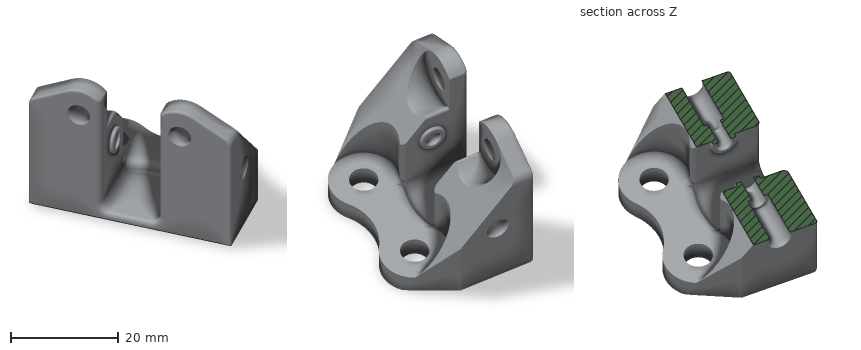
import cadquery as cq
import math

width = 40.0
half_width = width / 2
depth = 26.64
wall_thickness = 4.0
plate_thickness = 4.0

arm_x = 10.0
ear_z = 24.0
ear_radius = 5.65
height = ear_z + ear_radius
ear_slope = math.radians(28)
shoulder_radius = 1.8
screw_hole_diameter = 4.5

slope_foot_y = 23.05
slope_top_z = 24.92
slope_gradient = (slope_top_z - plate_thickness) / (slope_foot_y - wall_thickness)

blend_stations = [(12.6, 8.5), (16.3, 7.95), (half_width, 6.96)]

pad_radius = 6.7
pad_y = depth - pad_radius
bolt_hole_diameter = 5.5
side_length = 15.6
waist_y = 23.48

slot_half_width = 5.85
slot_floor_z = 2.3
slot_corner_radius = plate_thickness - slot_floor_z
slot_end_y = 16.66
slot_end_radius = 18.0
slot_end_length = 2.8
slot_end_lower_share = 0.3
slot_join_z = slot_floor_z + slot_end_lower_share * (plate_thickness - slot_floor_z)
flare_stations = [(12.5, 8.6), (16.0, 6.2)]

pin_y = 7.74
pin_z = 13.72
pin_hole_diameter = 3.3
pin_counterbore_diameter = 4.6
pin_counterbore_depth = 10.0
pin_counterbore_start = half_width - pin_counterbore_depth
ring_diameter = 5.3
ring_height = 0.76
ring_round = 0.35

edge_round = 0.5
slot_front_round = 1.0
arm_end_round = 1.0
front_base_chamfer = 1.0
side_base_chamfer = 0.4

sides = (-1, 1)


def nearest(x, y, z):
    return cq.selectors.NearestToPointSelector((x, y, z))


def slope_z(y):
    return slope_top_z - slope_gradient * (y - wall_thickness)


def shoulder_z(x):
    """Height of the ear's inclined top edge at distance x from the middle."""
    tangent_x = arm_x + ear_radius * math.sin(ear_slope)
    tangent_z = ear_z + ear_radius * math.cos(ear_slope)
    return tangent_z - (x - tangent_x) * math.tan(ear_slope)


def front_outline():
    """Arms and base seen along Y, solid between the ears."""
    tangent_x = arm_x + ear_radius * math.sin(ear_slope)
    inner_z = ear_z + math.sqrt(ear_radius**2 - (arm_x - slot_half_width) ** 2)
    half = (
        cq.Workplane("XZ")
        .moveTo(0, 0)
        .lineTo(half_width, 0)
        .lineTo(half_width, shoulder_z(half_width))
        .lineTo(tangent_x, shoulder_z(tangent_x))
        .threePointArc((arm_x, height), (slot_half_width, inner_z))
        .lineTo(0, inner_z)
        .close()
        .extrude(-depth)
    )
    shoulder = nearest(half_width, depth / 2, shoulder_z(half_width))
    half = half.edges(shoulder).fillet(shoulder_radius)
    return half.union(half.mirror("YZ"))


def side_outline():
    """Front wall, sloping back and rear plate, seen along X."""
    return (
        cq.Workplane("YZ")
        .polyline(
            [
                (0, 0),
                (depth, 0),
                (depth, plate_thickness),
                (slope_foot_y, plate_thickness),
                (wall_thickness, slope_top_z),
                (wall_thickness, height),
                (0, height),
            ]
        )
        .close()
        .extrude(half_width, both=True)
    )


def blend(side):
    """Concave filler on top of the slope, from the shoulder edge down to a tangent run-out."""
    sections = []
    for x, leave_y in blend_stations:
        top = cq.Vector(side * x, wall_thickness, shoulder_z(x))
        leave = cq.Vector(side * x, leave_y, slope_z(leave_y))
        root = cq.Vector(side * x, wall_thickness, slope_z(leave_y))
        along_slope = cq.Vector(0, -1, slope_gradient)
        sections.append(
            cq.Wire.assembleEdges(
                [
                    cq.Edge.makeTangentArc(leave, along_slope, top),
                    cq.Edge.makeLine(top, root),
                    cq.Edge.makeLine(root, leave),
                ]
            )
        )
    return cq.Workplane(cq.Solid.makeLoft(sections))


def on_pad(angle, side=1):
    """Point on the rim of a bolt pad, angle measured from the outward X direction."""
    return (side * (arm_x + pad_radius * math.cos(angle)), pad_y + pad_radius * math.sin(angle))


def taper_angle():
    """Angle on the pad rim where the taper from the end of the straight side touches it."""
    corner_dx = half_width - arm_x
    corner_dy = side_length - pad_y
    corner_distance = math.hypot(corner_dx, corner_dy)
    return math.atan2(corner_dy, corner_dx) + math.acos(pad_radius / corner_distance)


def base_envelope():
    """Block with straight sides and full-length tapers, chamfered round its base except at the rear."""
    taper_x, taper_y = on_pad(taper_angle())
    rear_x = half_width - (half_width - taper_x) * (depth - side_length) / (taper_y - side_length)
    envelope = (
        cq.Workplane("XY")
        .polyline(
            [
                (-half_width, 0),
                (half_width, 0),
                (half_width, side_length),
                (rear_x, depth),
                (-rear_x, depth),
                (-half_width, side_length),
            ]
        )
        .close()
        .extrude(height)
    )
    envelope = envelope.edges("<Y and <Z").chamfer(front_base_chamfer)
    return envelope.faces("<Z").edges("not |X").chamfer(side_base_chamfer)


def plan_outline():
    """Base seen from above: straight sides, tapers tangent to the pads, concave waist."""
    rise = pad_radius + pad_y - waist_y
    centre_distance = (arm_x**2 + rise**2) / (2 * rise)
    waist_radius = centre_distance - pad_radius
    waist_angle = math.atan2(waist_y + waist_radius - pad_y, -arm_x)
    tangent_angle = taper_angle()
    return (
        cq.Workplane("XY")
        .moveTo(-half_width, 0)
        .lineTo(half_width, 0)
        .lineTo(half_width, side_length)
        .lineTo(*on_pad(tangent_angle))
        .threePointArc(on_pad((tangent_angle + waist_angle) / 2), on_pad(waist_angle))
        .threePointArc((0, waist_y), on_pad(waist_angle, -1))
        .threePointArc(on_pad((tangent_angle + waist_angle) / 2, -1), on_pad(tangent_angle, -1))
        .lineTo(-half_width, side_length)
        .close()
        .extrude(height)
    )


def slot_end_limit():
    """Solid of revolution whose underside rises in an S curve from the slot floor to the plate."""
    floor_radius = slot_end_radius - slot_end_length
    join_radius = floor_radius + slot_end_length * slot_end_lower_share
    return (
        cq.Workplane("XZ")
        .moveTo(0, slot_floor_z)
        .lineTo(floor_radius, slot_floor_z)
        .tangentArcPoint((join_radius, slot_join_z), relative=False)
        .tangentArcPoint((slot_end_radius, plate_thickness), relative=False)
        .lineTo(slot_end_radius + depth, plate_thickness)
        .lineTo(slot_end_radius + depth, height)
        .lineTo(0, height)
        .close()
        .revolve(360, (0, 0, 0), (0, 1, 0))
        .translate((0, slot_end_y - slot_end_radius, 0))
    )


def slot_cutter():
    """Round-bottomed channel whose floor rises in an S curve to the plate at its rear end."""
    channel = (
        cq.Workplane("XZ")
        .rect(2 * slot_half_width, 2 * (height - slot_floor_z))
        .extrude(-depth)
        .translate((0, 0, height))
        .edges("|Y and <Z")
        .fillet(slot_corner_radius)
    )
    return channel.intersect(slot_end_limit())


def flare_cutter(plate_top):
    """Rounds the slot over into the open plate, outside the footprint of the arms."""
    corner_x = slot_half_width - slot_corner_radius
    join_dz = plate_thickness - slot_join_z
    join_x = corner_x + math.sqrt(slot_corner_radius**2 - join_dz**2)
    sections = []
    for y, flare_half_width in flare_stations:
        flare_dx = flare_half_width - join_x
        flare_radius = (flare_dx**2 + join_dz**2) / (2 * join_dz)
        profile = (
            cq.Workplane("XZ", origin=(0, y, 0))
            .moveTo(0, plate_thickness)
            .lineTo(0, slot_join_z)
            .lineTo(join_x, slot_join_z)
            .radiusArc((flare_half_width, plate_thickness), flare_radius)
            .close()
        )
        sections.append(profile.val())
    half = cq.Workplane(cq.Solid.makeLoft(sections, True))
    flare = half.union(half.mirror("YZ"))
    open_plate = cq.Workplane(
        cq.Solid.extrudeLinear(plate_top, cq.Vector(0, 0, slot_floor_z - plate_thickness))
    )
    return flare.intersect(open_plate).intersect(slot_end_limit())


def cylinder_along_x(diameter, start_x, length, side):
    return cq.Workplane(
        cq.Solid.makeCylinder(
            diameter / 2, length, cq.Vector(side * start_x, pin_y, pin_z), cq.Vector(side, 0, 0)
        )
    )


def cylinder_along_y(radius, start_y, x):
    return cq.Workplane(
        cq.Solid.makeCylinder(radius, depth, cq.Vector(x, start_y, ear_z), cq.Vector(0, 1, 0))
    )


def cylinder_along_z(radius, start_z, x):
    return cq.Workplane(cq.Solid.makeCylinder(radius, height, cq.Vector(x, pad_y, start_z)))


def round_arm_edges(part, side):
    """Rounds the slot-side edges of an arm where the pad clearance and screw pocket meet the slot."""
    wall_x = side * slot_half_width
    wall_offset = arm_x - slot_half_width
    pad_wall_y = pad_y - math.sqrt(pad_radius**2 - wall_offset**2)
    pad_wall_z = (plate_thickness + slope_z(pad_wall_y)) / 2
    part = part.edges(nearest(wall_x, pad_wall_y, pad_wall_z)).fillet(arm_end_round)
    pocket_z = ear_z - math.sqrt(ear_radius**2 - wall_offset**2)
    pocket_back_y = wall_thickness + (slope_top_z - pocket_z) / slope_gradient
    pocket_y = (wall_thickness + pocket_back_y) / 2
    return part.edges(nearest(wall_x, pocket_y, pocket_z)).fillet(edge_round)


def finish_front_edges(part):
    """Rounds the slot's front rim, then the arms' outline, which runs on over the ear's slot side."""
    part = part.edges(nearest(0, 0, slot_floor_z)).fillet(slot_front_round)
    for side in sides:
        part = part.edges(nearest(side * half_width, 0, height / 2)).fillet(edge_round)
    return part


def pin_ring(side):
    ring = cylinder_along_x(ring_diameter, slot_half_width - ring_height, ring_height, side)
    inner_face = ">X" if side < 0 else "<X"
    return ring.faces(inner_face).edges().fillet(ring_round)


body = side_outline()
for side in sides:
    body = body.union(blend(side))
body = body.intersect(front_outline()).intersect(plan_outline()).intersect(base_envelope())

for side in sides:
    body = body.cut(cylinder_along_y(ear_radius, wall_thickness, side * arm_x))
    body = body.cut(cylinder_along_z(pad_radius, plate_thickness, side * arm_x))

body = body.cut(slot_cutter())
for side in sides:
    body = round_arm_edges(body, side)
plate_top = body.faces("|Z").faces(nearest(0, pad_y, plate_thickness)).val()
body = finish_front_edges(body)
body = body.cut(flare_cutter(plate_top))

for side in sides:
    body = body.union(pin_ring(side))
    body = body.cut(cylinder_along_x(pin_hole_diameter, 0, half_width, side))
    body = body.cut(
        cylinder_along_x(pin_counterbore_diameter, pin_counterbore_start, pin_counterbore_depth, side)
    )

for side in sides:
    body = body.cut(cylinder_along_y(screw_hole_diameter / 2, 0, side * arm_x))
    body = body.cut(cylinder_along_z(bolt_hole_diameter / 2, 0, side * arm_x))

result = body